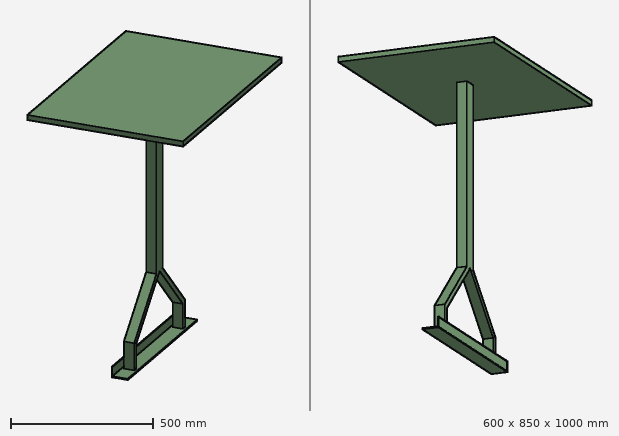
import cadquery as cq
import math

top_width = 600.0
top_length = 850.0
top_thickness = 20.0
total_height = 1000.0

foot_length = 600.0
foot_width = 62.0
foot_height = 40.0
base_thickness = 5.0
flange_thickness = 3.0

column_depth = 40.0
bar_thickness = 20.0
leg_spread = 440.0
fork_height = 300.0

arm_cut = bar_thickness * math.sqrt(2)
leg_outer = leg_spread / 2
leg_inner = leg_outer - bar_thickness
outer_bend_height = fork_height - (leg_outer - arm_cut)
inner_bend_height = fork_height - leg_inner
top_underside = total_height - top_thickness


def make_top():
    return (
        cq.Workplane("XY", origin=(0, 0, top_underside))
        .rect(top_width, top_length)
        .extrude(top_thickness)
    )


def make_column():
    """Post that splits into two sloping arms, each ending in a vertical leg."""
    half_outline = [
        (0, top_underside),
        (arm_cut, top_underside),
        (arm_cut, fork_height),
        (leg_outer, outer_bend_height),
        (leg_outer, base_thickness),
        (leg_inner, base_thickness),
        (leg_inner, inner_bend_height),
        (0, fork_height),
    ]
    half = cq.Workplane("YZ").polyline(half_outline).close().extrude(column_depth / 2, both=True)
    return half.union(half.mirror("XZ"))


def make_foot():
    """Flat base with a thin upright flange along its -X edge."""
    left = -foot_width / 2
    base = cq.Workplane("XY").rect(foot_width, foot_length).extrude(base_thickness)
    flange = (
        cq.Workplane("XY", origin=(left + flange_thickness / 2, 0, 0))
        .rect(flange_thickness, foot_length)
        .extrude(foot_height)
    )
    return base.union(flange)


result = make_top().union(make_column()).union(make_foot())